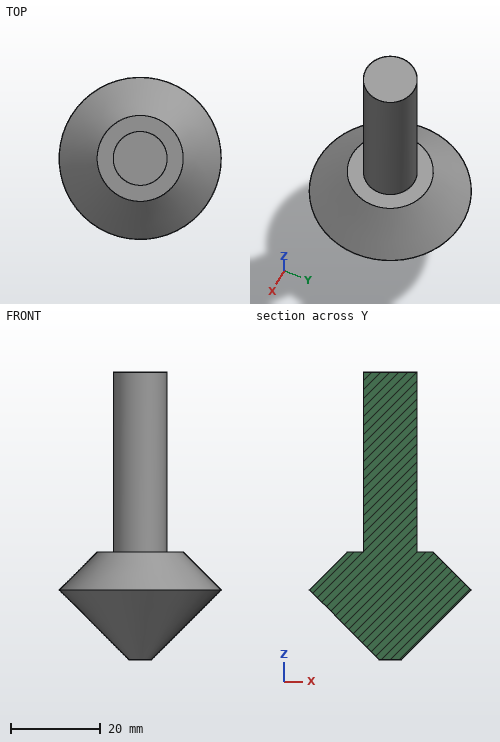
import cadquery as cq
import math

shaft_diameter = 12.0
shaft_length = 40.0
tip_diameter = 5.0
lower_slant_length = 22.0
upper_slant_length = 12.0
cone_angle = math.radians(45.0)

shaft_radius = shaft_diameter / 2
tip_radius = tip_diameter / 2
rim_radius = tip_radius + lower_slant_length * math.sin(cone_angle)
shoulder_radius = rim_radius - upper_slant_length * math.sin(cone_angle)

rim_height = lower_slant_length * math.cos(cone_angle)
shoulder_height = rim_height + upper_slant_length * math.cos(cone_angle)


def make_head():
    """Double cone: widens from the flat tip to the rim, then narrows to the shoulder."""
    half_profile = [
        (0, 0),
        (tip_radius, 0),
        (rim_radius, rim_height),
        (shoulder_radius, shoulder_height),
        (0, shoulder_height),
    ]
    return cq.Workplane("XZ").polyline(half_profile).close().revolve(360, (0, 0, 0), (0, 1, 0))


def make_shaft():
    """Plain round shaft standing on the shoulder of the head."""
    return cq.Workplane("XY").workplane(offset=shoulder_height).circle(shaft_radius).extrude(shaft_length)


result = make_head().union(make_shaft())